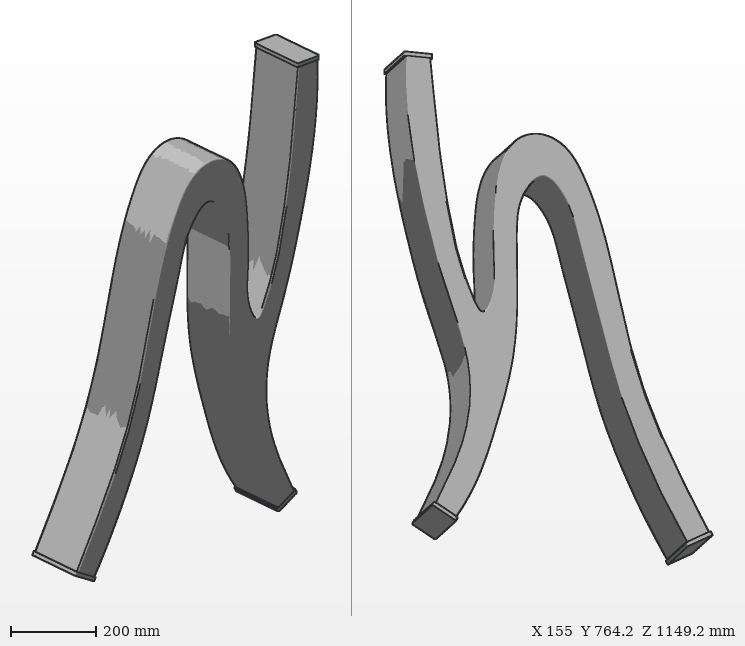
import cadquery as cq
width = 155.0
cap_thickness = 10.0
cap_overhang = 5.0
edge_radius = 4.0

top_end = [(378.0, 1139.0), (318.0, 1139.0)]
rear_foot_end = [(305.0, 45.0), (254.0, 16.0)]
front_foot_end = [(-318.0, 11.0), (-372.0, 41.0)]

rear_edge = [
    (276.0, 106.0), (239.0, 200.0), (220.0, 310.0), (228.0, 414.0),
    (272.0, 554.0), (324.0, 732.0), (362.0, 908.0), (377.0, 1035.0),
]
upper_edge = [
    (295.0, 920.0), (260.0, 709.0), (215.0, 568.0),
    (187.0, 529.0),
    (170.0, 555.0), (161.0, 655.0), (159.0, 805.0), (143.0, 899.0), (102.0, 962.0),
    (48.0, 980.0),
    (-10.0, 959.0), (-62.0, 886.0), (-120.0, 724.0),
    (-169.0, 516.0), (-222.0, 347.0), (-295.0, 185.0),
]
arch_edge = [
    (-217.0, 201.0), (-148.0, 375.0), (-100.0, 550.0), (-50.0, 736.0), (-13.0, 833.0),
    (38.0, 875.0),
    (85.0, 830.0), (103.0, 736.0), (102.0, 575.0),
    (113.0, 425.0), (153.0, 257.0), (201.0, 114.0),
]


def make_frame():
    """The forked frame: one outline through the full width, its long edges rounded."""
    outline = (
        cq.Workplane("YZ", origin=(-width / 2, 0, 0))
        .moveTo(*rear_foot_end[0])
        .spline([*rear_edge, top_end[0]], includeCurrent=True)
        .lineTo(*top_end[1])
        .spline([*upper_edge, front_foot_end[1]], includeCurrent=True)
        .lineTo(*front_foot_end[0])
        .spline([*arch_edge, rear_foot_end[1]], includeCurrent=True)
        .close()
    )
    frame = outline.extrude(width)
    side_edges = frame.faces("<X or >X").edges("not %LINE")
    return frame.newObject(side_edges.vals()).fillet(edge_radius)


def make_cap(leg_end, outward_sign):
    """A flat plate with rounded corners closing a leg; it stands out past the leg."""
    (back_y, back_z), (front_y, front_z) = leg_end
    across = cq.Vector(0, front_y - back_y, front_z - back_z)
    outward = cq.Vector(outward_sign, 0, 0).cross(across.normalized())
    middle = ((back_y + front_y) / 2, (back_z + front_z) / 2)
    plane = cq.Plane(origin=(0, *middle), xDir=(1, 0, 0), normal=outward.toTuple())
    return (
        cq.Workplane(plane)
        .rect(width, across.Length + 2 * cap_overhang)
        .extrude(cap_thickness)
        .edges(cq.selectors.ParallelDirSelector(outward))
        .fillet(edge_radius)
    )


frame = make_frame()
caps = [make_cap(top_end, -1), make_cap(rear_foot_end, 1), make_cap(front_foot_end, 1)]

result = cq.Compound.makeCompound([frame.val(), *[cap.val() for cap in caps]])